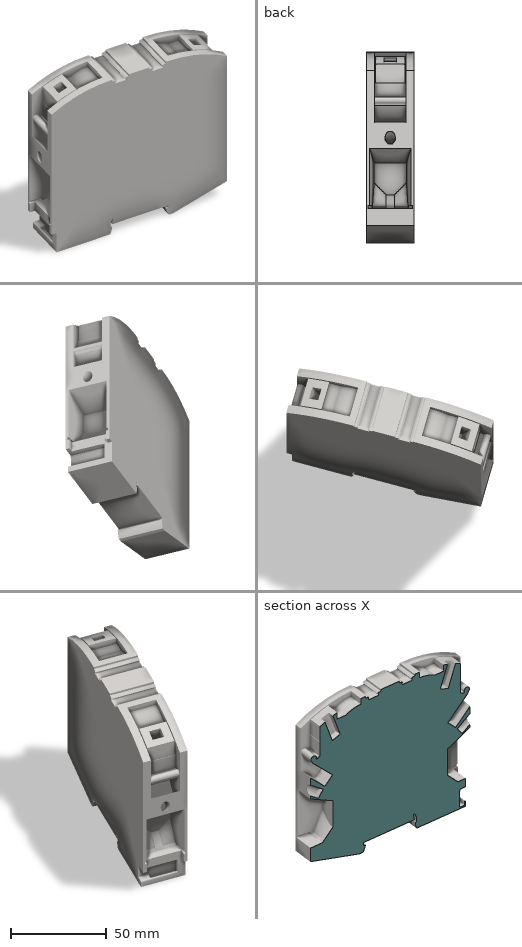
import cadquery as cq
import math

WIDTH = 25.0
LENGTH = 105.5
HEIGHT = 99.7
HALF_WIDTH = WIDTH / 2
HALF_LENGTH = LENGTH / 2
END_Y = -HALF_LENGTH
SHOULDER_Z = 90.2
DOME_START_Y = 17.2
CLEARANCE = 2.1

dome_run = HALF_LENGTH - DOME_START_Y
dome_drop = HEIGHT - SHOULDER_Z
DOME_RADIUS = (dome_run**2 + dome_drop**2) / (2 * dome_drop)


def dome_z(y):
    """Height of the domed top at distance y from the middle."""
    run = max(abs(y) - DOME_START_Y, 0)
    return HEIGHT - DOME_RADIUS + math.sqrt(DOME_RADIUS**2 - run**2)


FOOT_Y = -49.7
FOOT_TOP_Z = 12.5
BACK_CORNER_Z = 9.2
RAIL_TOP_Z = 6.1
HOOK_Z = 4.5
HOOK_BULGE_Z = 2.1
FIXED_HOOK_TIP_Y = 16.1
FIXED_HOOK_BULGE_Y = 16.8
FIXED_HOOK_ROOT_Y = 17.5
FIXED_HOOK_TOE_Y = 17.8
SLOPE_START_Y = 20.3
SPRING_HOOK_TIP_Y = -16.5
SPRING_HOOK_BULGE_Y = -16.7
SPRING_HOOK_TOE_Y = -17.4
SPRING_SLOT_Y = -17.3
SPRING_SLOT_MID = (-17.1, 7.3)
SPRING_SLOT_END = (-16.1, 9.7)
SPRING_SLOT_CROWN = (-15.7, 9.9)
SPRING_SLOT_NEAR = (-15.4, 9.5)
RAIL_SEAT_END_Y = -16.1

GROOVE_FLOOR_Z = 96.6
GROOVE_STEP_Z = 98.5
GROOVE_LIP_Z = 97.9
GROOVE_LIP_THICKNESS = 0.3
GROOVE_INNER_Y = 6.2
GROOVE_INNER_STEP_Y = 7.7
GROOVE_INNER_LIP_Y = 8.5
GROOVE_INNER_WALL_Y = 7.8
GROOVE_OUTER_WALL_Y = 14.2
GROOVE_OUTER_LIP_Y = 13.8
GROOVE_OUTER_STEP_Y = 14.8
GROOVE_OUTER_Y = 16.0

RECESS_HALF_WIDTH = 8.1
RECESS_BACK_Y = -19.5
RECESS_BACK_Z = 96.0
RECESS_SILL_Z = 63.3
SADDLE_END_Y = -29.3
SADDLE_FLOOR_Z = 93.4

LEVER_HALF_WIDTH = 7.6
LEVER_BACK_Y = -35.0
LEVER_FRONT_Y = -46.4
LEVER_GAP_Z = 83.5
LEVER_HOLE_WIDTH = 6.4
LEVER_HOLE_LENGTH = 5.3
LEVER_HOLE_DEPTH = 14.8
LEVER_HOLE_Y = -40.5

NOSE_RADIUS = 1.9
NOSE_Y = -50.5
NOSE_Z = 74.5
NOSE_LEDGE_Z = 73.6
NOSE_STEP_Y = -47.7
NOSE_STEP_DROP = 0.6
NOSE_FACET_RUN = 0.6
NOSE_FACET_DROP = 1.4
LEVER_FOOT_STEP = 0.2
CHANNEL_END_Y = -38.2

PIN_DIAMETER = 5.3
PIN_Z = 55.1
PIN_ANGLE = 37.0
PIN_DEPTH = 8.4

FUNNEL_HALF_WIDTH = 10.8
FUNNEL_BACK_HALF_WIDTH = 8.4
FUNNEL_TOP_Z = 49.5
FUNNEL_BACK_TOP_Z = 41.9
FUNNEL_FLOOR_Z = 18.1
FUNNEL_BACK_Y = -38.0
RAMP_BASE_Y = -44.7
RAMP_TOE_Y = -43.4
RAMP_TOE_HEIGHT = 0.7
RAMP_CREST_Z = 25.1
GUIDE_HALF_WIDTH = 2.1
EAR_HALF_WIDTH = 11.6
EAR_HEIGHT = 1.5
EAR_BACK_Y = -45.4

NOTCH_HALF_WIDTH = 10.3
LATCH_BACK_Y = -45.8
LATCH_TOP_Y = -46.2
LATCH_BEND_Z = 9.8
LATCH_FLOOR_Z = 3.8
LATCH_LIP_RADIUS = 0.7
LATCH_WELL_Z = 1.3
LATCH_WELL_START_X = -6.9
LATCH_WALL_X = 8.1


def extrude_x(profile, x_min, x_max):
    """Extrude a closed (Y, Z) profile between two X positions."""
    return profile.extrude(x_max - x_min).translate((x_min, 0, 0))


def block(x_min, x_max, y_min, y_max, z_min, z_max):
    size = (x_max - x_min, y_max - y_min, z_max - z_min)
    return cq.Workplane("XY").box(*size, centered=False).translate((x_min, y_min, z_min))


def make_body():
    mid_y = (HALF_LENGTH + DOME_START_Y) / 2
    profile = (
        cq.Workplane("YZ")
        .moveTo(FOOT_Y, 0)
        .lineTo(FOOT_Y, FOOT_TOP_Z)
        .lineTo(END_Y, FOOT_TOP_Z)
        .lineTo(END_Y, SHOULDER_Z)
        .threePointArc((-mid_y, dome_z(mid_y)), (-DOME_START_Y, HEIGHT))
        .lineTo(DOME_START_Y, HEIGHT)
        .threePointArc((mid_y, dome_z(mid_y)), (HALF_LENGTH, SHOULDER_Z))
        .lineTo(HALF_LENGTH, BACK_CORNER_Z)
        .lineTo(SLOPE_START_Y, 0)
        .lineTo(FIXED_HOOK_TOE_Y, 0)
        .threePointArc((FIXED_HOOK_BULGE_Y, HOOK_BULGE_Z), (FIXED_HOOK_TIP_Y, HOOK_Z))
        .lineTo(FIXED_HOOK_ROOT_Y, HOOK_Z)
        .lineTo(FIXED_HOOK_ROOT_Y, RAIL_TOP_Z)
        .lineTo(RAIL_SEAT_END_Y, RAIL_TOP_Z)
        .lineTo(*SPRING_SLOT_NEAR)
        .threePointArc(SPRING_SLOT_CROWN, SPRING_SLOT_END)
        .threePointArc(SPRING_SLOT_MID, (SPRING_SLOT_Y, HOOK_Z))
        .lineTo(SPRING_HOOK_TIP_Y, HOOK_Z)
        .threePointArc((SPRING_HOOK_BULGE_Y, HOOK_BULGE_Z), (SPRING_HOOK_TOE_Y, 0))
        .close()
    )
    return extrude_x(profile, -HALF_WIDTH, HALF_WIDTH)


def make_groove():
    """Groove with a snap lip on both sides, at negative Y."""
    profile = cq.Workplane("YZ").polyline([
        (-GROOVE_INNER_Y, HEIGHT + CLEARANCE),
        (-GROOVE_INNER_Y, GROOVE_STEP_Z),
        (-GROOVE_INNER_STEP_Y, GROOVE_STEP_Z),
        (-GROOVE_INNER_LIP_Y, GROOVE_LIP_Z),
        (-GROOVE_INNER_WALL_Y, GROOVE_LIP_Z - GROOVE_LIP_THICKNESS),
        (-GROOVE_INNER_WALL_Y, GROOVE_FLOOR_Z),
        (-GROOVE_OUTER_WALL_Y, GROOVE_FLOOR_Z),
        (-GROOVE_OUTER_WALL_Y, GROOVE_LIP_Z - GROOVE_LIP_THICKNESS),
        (-GROOVE_OUTER_LIP_Y, GROOVE_LIP_Z),
        (-GROOVE_OUTER_STEP_Y, GROOVE_STEP_Z),
        (-GROOVE_OUTER_Y, GROOVE_STEP_Z),
        (-GROOVE_OUTER_Y, HEIGHT + CLEARANCE),
    ]).close()
    return extrude_x(profile, -HALF_WIDTH, HALF_WIDTH)


def make_saddle_pocket():
    """Pocket behind the lever, its floor rising in an arc that ends level."""
    run = RECESS_BACK_Y - SADDLE_END_Y
    rise = RECESS_BACK_Z - SADDLE_FLOOR_Z
    radius = (run**2 + rise**2) / (2 * rise)
    mid_run = run / 2
    mid_z = RECESS_BACK_Z - radius + math.sqrt(radius**2 - mid_run**2)
    profile = (
        cq.Workplane("YZ")
        .moveTo(RECESS_BACK_Y, HEIGHT + CLEARANCE)
        .lineTo(RECESS_BACK_Y, RECESS_BACK_Z)
        .threePointArc((RECESS_BACK_Y - mid_run, mid_z), (SADDLE_END_Y, SADDLE_FLOOR_Z))
        .lineTo(LEVER_BACK_Y, SADDLE_FLOOR_Z)
        .lineTo(LEVER_BACK_Y, HEIGHT + CLEARANCE)
        .close()
    )
    return extrude_x(profile, -RECESS_HALF_WIDTH, RECESS_HALF_WIDTH)


def make_front_recess():
    """Open space in front of the lever, around the nose and down the 45 degree channel."""
    nose_back_y = NOSE_Y + math.sqrt(NOSE_RADIUS**2 - (NOSE_Z - NOSE_LEDGE_Z)**2)
    diagonal = NOSE_RADIUS * math.sqrt(0.5)
    tangent_y = NOSE_Y - diagonal
    tangent_z = NOSE_Z - diagonal
    facet_y = tangent_y + NOSE_FACET_RUN
    facet_z = tangent_z - NOSE_FACET_DROP
    foot_y = LEVER_FRONT_Y - LEVER_FOOT_STEP
    channel_end_z = facet_z - (CHANNEL_END_Y - facet_y)
    end_step = (CHANNEL_END_Y + channel_end_z - END_Y - RECESS_SILL_Z) / 2
    profile = (
        cq.Workplane("YZ")
        .moveTo(LEVER_FRONT_Y, HEIGHT)
        .lineTo(LEVER_FRONT_Y, LEVER_GAP_Z)
        .lineTo(foot_y, LEVER_GAP_Z)
        .lineTo(foot_y, NOSE_LEDGE_Z + NOSE_STEP_DROP)
        .lineTo(NOSE_STEP_Y, NOSE_LEDGE_Z + NOSE_STEP_DROP)
        .lineTo(NOSE_STEP_Y, NOSE_LEDGE_Z)
        .lineTo(nose_back_y, NOSE_LEDGE_Z)
        .threePointArc((NOSE_Y - diagonal, NOSE_Z + diagonal), (tangent_y, tangent_z))
        .lineTo(facet_y, facet_z)
        .lineTo(CHANNEL_END_Y, channel_end_z)
        .lineTo(CHANNEL_END_Y - end_step, channel_end_z - end_step)
        .lineTo(END_Y, RECESS_SILL_Z)
        .lineTo(END_Y - CLEARANCE, RECESS_SILL_Z)
        .lineTo(END_Y - CLEARANCE, HEIGHT)
        .close()
    )
    return extrude_x(profile, -RECESS_HALF_WIDTH, RECESS_HALF_WIDTH)


def make_lever_gap():
    """Narrow gap beside the lever on the +X side."""
    return block(
        LEVER_HALF_WIDTH, RECESS_HALF_WIDTH, LEVER_FRONT_Y, LEVER_BACK_Y, LEVER_GAP_Z, HEIGHT
    )


def make_lever_hole():
    """Rectangular hole sunk square to the domed top of the lever."""
    tilt = math.degrees(math.asin((-LEVER_HOLE_Y - DOME_START_Y) / DOME_RADIUS))
    hole = cq.Workplane("XY").box(
        LEVER_HOLE_WIDTH, LEVER_HOLE_LENGTH, LEVER_HOLE_DEPTH + CLEARANCE,
        centered=(True, True, False),
    )
    hole = hole.translate((0, 0, -LEVER_HOLE_DEPTH)).rotate((0, 0, 0), (1, 0, 0), tilt)
    return hole.translate((0, LEVER_HOLE_Y, dome_z(LEVER_HOLE_Y)))


def make_pin_hole():
    """Round hole running inward and down from the end face."""
    angle = math.radians(PIN_ANGLE)
    inward = cq.Vector(0, math.cos(angle), -math.sin(angle))
    start = cq.Vector(0, END_Y, PIN_Z) - inward * CLEARANCE
    pin = cq.Solid.makeCylinder(PIN_DIAMETER / 2, PIN_DEPTH + CLEARANCE, start, inward)
    return cq.Workplane("XY").add(pin)


def make_side_ramp():
    """Ramp at the back of the funnel on the +X side, its crest rising outward at 45 degrees."""
    def section(x):
        crest_z = RAMP_CREST_Z + x - GUIDE_HALF_WIDTH
        return cq.Wire.makePolygon([
            cq.Vector(x, RAMP_BASE_Y, FUNNEL_FLOOR_Z),
            cq.Vector(x, RAMP_TOE_Y, FUNNEL_FLOOR_Z + RAMP_TOE_HEIGHT),
            cq.Vector(x, FUNNEL_BACK_Y, crest_z),
            cq.Vector(x, FUNNEL_BACK_Y, FUNNEL_FLOOR_Z),
        ], close=True)
    sections = [section(GUIDE_HALF_WIDTH), section(FUNNEL_HALF_WIDTH)]
    return cq.Workplane("XY").add(cq.Solid.makeLoft(sections, True))


def make_guide_ramp():
    """Straight ramp between the two side ramps."""
    profile = cq.Workplane("YZ").polyline([
        (RAMP_BASE_Y, FUNNEL_FLOOR_Z),
        (FUNNEL_BACK_Y, RAMP_CREST_Z),
        (FUNNEL_BACK_Y, FUNNEL_FLOOR_Z),
    ]).close()
    return extrude_x(profile, -GUIDE_HALF_WIDTH, GUIDE_HALF_WIDTH)


def make_funnel():
    """Tapered wire opening with ramps left standing at its back."""
    def mouth(y, half_width, z_top):
        return cq.Wire.makePolygon([
            cq.Vector(-half_width, y, FUNNEL_FLOOR_Z),
            cq.Vector(half_width, y, FUNNEL_FLOOR_Z),
            cq.Vector(half_width, y, z_top),
            cq.Vector(-half_width, y, z_top),
        ], close=True)
    front = mouth(END_Y, FUNNEL_HALF_WIDTH, FUNNEL_TOP_Z)
    back = mouth(FUNNEL_BACK_Y, FUNNEL_BACK_HALF_WIDTH, FUNNEL_BACK_TOP_Z)
    funnel = cq.Workplane("XY").add(cq.Solid.makeLoft([front, back], True))
    side_ramp = make_side_ramp()
    for ramp in (side_ramp, side_ramp.mirror("YZ"), make_guide_ramp()):
        funnel = funnel.cut(ramp)
    ears = block(
        -EAR_HALF_WIDTH, EAR_HALF_WIDTH, END_Y, EAR_BACK_Y,
        FUNNEL_FLOOR_Z, FUNNEL_FLOOR_Z + EAR_HEIGHT,
    )
    return funnel.union(ears)


def make_latch_pocket():
    """Pocket in the front of the foot, open toward -X, with a deeper well behind its rounded lip."""
    profile = (
        cq.Workplane("YZ")
        .moveTo(FOOT_Y, FOOT_TOP_Z)
        .lineTo(LATCH_TOP_Y, FOOT_TOP_Z)
        .lineTo(LATCH_BACK_Y, LATCH_BEND_Z)
        .lineTo(LATCH_BACK_Y, LATCH_FLOOR_Z)
        .lineTo(FOOT_Y + LATCH_LIP_RADIUS, LATCH_FLOOR_Z)
        .radiusArc((FOOT_Y, LATCH_FLOOR_Z - LATCH_LIP_RADIUS), -LATCH_LIP_RADIUS)
        .close()
    )
    pocket = extrude_x(profile, -HALF_WIDTH, LATCH_WALL_X)
    well = block(
        LATCH_WELL_START_X, LATCH_WALL_X, FOOT_Y + LATCH_LIP_RADIUS, LATCH_BACK_Y,
        LATCH_WELL_Z, LATCH_FLOOR_Z,
    )
    return pocket.union(well)


result = make_body()

lever_gap = make_lever_gap()
end_cutters = [
    make_groove(),
    make_saddle_pocket(),
    make_front_recess(),
    lever_gap,
    lever_gap.mirror("YZ"),
    make_lever_hole(),
    make_pin_hole(),
    make_funnel(),
]
for cutter in end_cutters:
    result = result.cut(cutter).cut(cutter.mirror("XZ"))

foot_notch = block(
    -NOTCH_HALF_WIDTH, NOTCH_HALF_WIDTH, END_Y, FOOT_Y, FOOT_TOP_Z, FUNNEL_FLOOR_Z
)
result = result.cut(foot_notch).cut(make_latch_pocket())